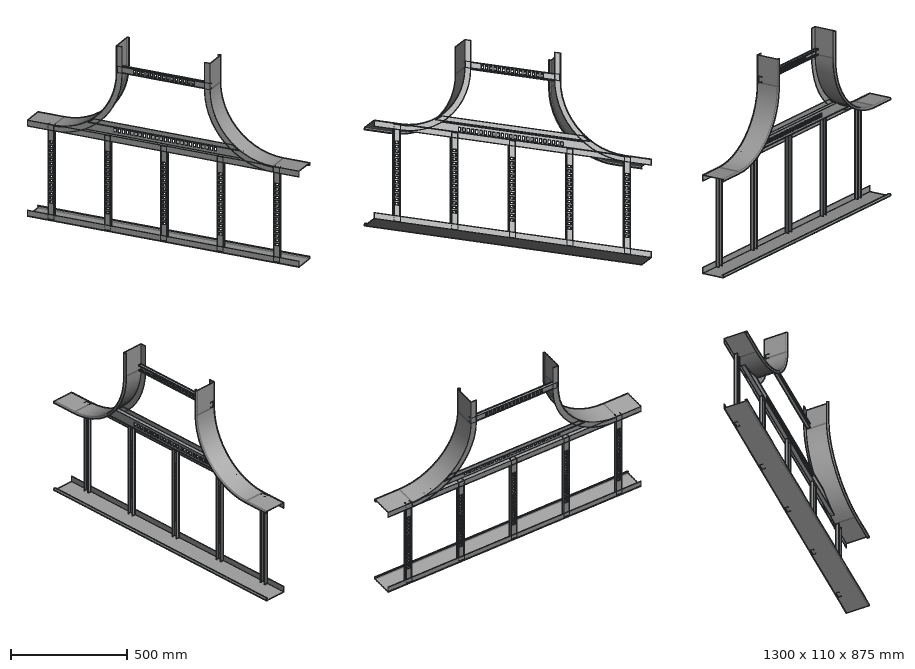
import cadquery as cq


SHEET = 2.0
RUN_LENGTH = 1300.0
TOTAL_HEIGHT = 875.0
RAIL_DEPTH = 110.0
LADDER_WIDTH = 450.0
BEND_RADIUS = 300.0
FRONT_Y = -RAIL_DEPTH / 2
BACK_Y = RAIL_DEPTH / 2

FLANGE_WIDTH = 28.0
CURL_RADIUS = 6.0
CURL_LIP = 4.0

RUNG_WIDTH = 29.0
RUNG_DEPTH = 16.0
RUNG_LIP = 5.0
RUNG_SETBACK = 5.0
RUNG_END_GAP = 2.5
RUNG_PITCH = 270.0
RUNG_COUNT = 5
SLOT_WIDTH = 10.5
SLOT_HEIGHT = 17.0
SLOT_PITCH = 20.0
RUNG_SLOTS = 15
BRANCH_RUNG_DROP = 110.5

TIE_CHANNEL_HEIGHT = 41.0
TIE_DEPTH = 20.0
TIE_LIP = 22.0
TIE_SLOTS = 25
TIE_END_GAP = 4.0

BEND_X = -LADDER_WIDTH / 2 - BEND_RADIUS
BEND_Z = LADDER_WIDTH + BEND_RADIUS
RUN_STUB = BEND_X + RUN_LENGTH / 2
BRANCH_STUB = TOTAL_HEIGHT - BEND_Z


def rail_section(plane, web_offset, side):
    """Rail outline on a plane whose first axis is Y; side is the way the flange points."""

    def point(y, height):
        return (y, web_offset + side * height)

    curl_center_y = BACK_Y - CURL_RADIUS
    lip_end_y = curl_center_y - CURL_LIP
    curl_top = 2 * CURL_RADIUS
    return (
        cq.Workplane(plane)
        .moveTo(*point(FRONT_Y, 0))
        .lineTo(*point(curl_center_y, 0))
        .threePointArc(point(BACK_Y, CURL_RADIUS), point(curl_center_y, curl_top))
        .lineTo(*point(lip_end_y, curl_top))
        .lineTo(*point(lip_end_y, curl_top - SHEET))
        .lineTo(*point(curl_center_y, curl_top - SHEET))
        .threePointArc(point(BACK_Y - SHEET, CURL_RADIUS), point(curl_center_y, SHEET))
        .lineTo(*point(FRONT_Y + SHEET, SHEET))
        .lineTo(*point(FRONT_Y + SHEET, FLANGE_WIDTH))
        .lineTo(*point(FRONT_Y, FLANGE_WIDTH))
        .close()
    )


def make_straight_rail():
    plane = cq.Plane(origin=(-RUN_LENGTH / 2, 0, 0), xDir=(0, 1, 0), normal=(1, 0, 0))
    return rail_section(plane, 0, 1).extrude(RUN_LENGTH)


def make_left_bend_rail():
    """Stub along the run, quarter bend, stub up the branch."""
    run_plane = cq.Plane(origin=(BEND_X, 0, BEND_Z), xDir=(0, 1, 0), normal=(1, 0, 0))
    run_stub = rail_section(run_plane, -BEND_RADIUS, -1).extrude(-RUN_STUB)
    bend = rail_section(run_plane, -BEND_RADIUS, -1).revolve(90, (0, 0, 0), (-1, 0, 0))
    branch_plane = cq.Plane(origin=(BEND_X, 0, BEND_Z), xDir=(0, 1, 0), normal=(0, 0, 1))
    branch_stub = rail_section(branch_plane, -BEND_RADIUS, -1).extrude(BRANCH_STUB)
    return run_stub.union(bend).union(branch_stub).clean()


def slot_row(count, y_front, depth):
    """Row of slots along X, centred on the origin in X and Z, cut back from y_front."""
    return (
        cq.Workplane("XZ", origin=(0, y_front, 0))
        .rarray(SLOT_PITCH, 1, count, 1)
        .rect(SLOT_WIDTH, SLOT_HEIGHT)
        .extrude(-depth)
    )


def make_rung(length):
    """Rung lying along X, centred on the origin in X and Z."""
    front = FRONT_Y + RUNG_SETBACK
    back = front + RUNG_DEPTH
    half = RUNG_WIDTH / 2
    plane = cq.Plane(origin=(-length / 2, 0, 0), xDir=(0, 1, 0), normal=(1, 0, 0))
    channel = (
        cq.Workplane(plane)
        .polyline([
            (front, -half),
            (back, -half),
            (back, -half + RUNG_LIP),
            (back - SHEET, -half + RUNG_LIP),
            (back - SHEET, -half + SHEET),
            (front + SHEET, -half + SHEET),
            (front + SHEET, half - SHEET),
            (back - SHEET, half - SHEET),
            (back - SHEET, half - RUNG_LIP),
            (back, half - RUNG_LIP),
            (back, half),
            (front, half),
        ])
        .close()
        .extrude(length)
    )
    return channel.cut(slot_row(RUNG_SLOTS, front, SHEET))


def make_tie_bar():
    front = FRONT_Y + SHEET
    back = front + TIE_DEPTH
    base = LADDER_WIDTH
    shoulder = base + TIE_CHANNEL_HEIGHT
    top = shoulder + TIE_LIP
    length = -2 * BEND_X
    plane = cq.Plane(origin=(BEND_X, 0, 0), xDir=(0, 1, 0), normal=(1, 0, 0))
    bar = (
        cq.Workplane(plane)
        .polyline([
            (front, base - FLANGE_WIDTH),
            (front, base),
            (back - SHEET, base),
            (back - SHEET, shoulder),
            (front, shoulder),
            (front, top),
            (front + SHEET, top),
            (front + SHEET, shoulder + SHEET),
            (back, shoulder + SHEET),
            (back, base - SHEET),
            (front + SHEET, base - SHEET),
            (front + SHEET, base - FLANGE_WIDTH),
        ])
        .close()
        .extrude(length)
    )
    slots = slot_row(TIE_SLOTS, back - SHEET, SHEET).translate((0, 0, base + TIE_CHANNEL_HEIGHT / 2))
    bends = (
        cq.Workplane("XZ", origin=(0, BACK_Y, 0))
        .pushPoints([(BEND_X, BEND_Z), (-BEND_X, BEND_Z)])
        .circle(BEND_RADIUS + SHEET + TIE_END_GAP)
        .extrude(RAIL_DEPTH)
    )
    return bar.cut(slots).cut(bends)


straight_rail = make_straight_rail()
left_bend_rail = make_left_bend_rail()
right_bend_rail = left_bend_rail.mirror("YZ")
tie_bar = make_tie_bar()

rung_length = LADDER_WIDTH - 2 * (SHEET + RUNG_END_GAP)
branch_rung = make_rung(rung_length).translate((0, 0, TOTAL_HEIGHT - BRANCH_RUNG_DROP))

upright_rung = make_rung(rung_length).rotate((0, 0, 0), (0, 1, 0), 90)
run_rungs = []
for index in range(RUNG_COUNT):
    rung_x = (index - (RUNG_COUNT - 1) / 2) * RUNG_PITCH
    run_rungs.append(upright_rung.translate((rung_x, 0, LADDER_WIDTH / 2)))

result = cq.Compound.makeCompound([
    straight_rail.val(),
    left_bend_rail.val(),
    right_bend_rail.val(),
    tie_bar.val(),
    branch_rung.val(),
    *[rung.val() for rung in run_rungs],
])